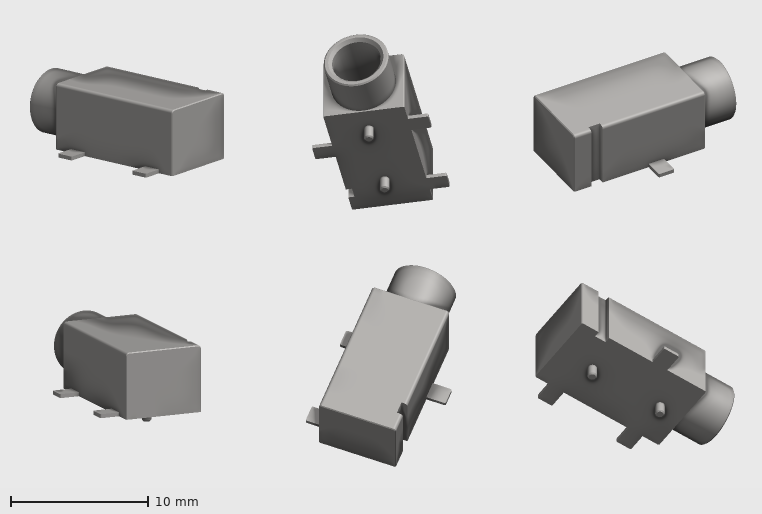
import cadquery as cq

total_length = 14.0
barrel_length = 3.0
edge_break = 0.1

housing_length = total_length - barrel_length
housing_width = 6.0
housing_height = 5.0
top_edge_radius = 0.25
end_face_bevel = 0.07

barrel_diameter = 4.8
bore_diameter = 3.61
mouth_diameter = 4.1
rear_wall = 1.0
bore_depth = total_length - rear_wall
axis_height = housing_height / 2

tab_width = 1.3
tab_reach = 1.5
tab_thickness = 0.3
tabs = [(5.1, -1), (12.1, -1), (7.1, 1)]

pin_diameter = 0.7
pin_length = 1.01
pin_positions = [5.0, 11.0]

notch_start = 11.6
notch_width = 0.94
notch_depth = 0.46


def make_housing():
    box = cq.Workplane("XY").box(
        housing_length, housing_width, housing_height, centered=(False, True, False)
    ).translate((barrel_length, 0, 0))
    box = box.edges("|X and >Z").fillet(top_edge_radius)
    end_edges = box.faces("<X or >X").edges("not(<Z)")
    return end_edges.chamfer(end_face_bevel)


def make_barrel():
    return (
        cq.Workplane("YZ", origin=(0, 0, axis_height))
        .circle(barrel_diameter / 2)
        .extrude(barrel_length + end_face_bevel)
        .faces("<X")
        .edges()
        .chamfer(edge_break)
    )


def make_bore():
    bore_radius = bore_diameter / 2
    mouth_radius = mouth_diameter / 2
    mouth_depth = mouth_radius - bore_radius
    profile = [
        (0, 0),
        (0, mouth_radius),
        (mouth_depth, bore_radius),
        (bore_depth, bore_radius),
        (bore_depth, 0),
    ]
    half_section = cq.Workplane("XY", origin=(0, 0, axis_height)).polyline(profile).close()
    return half_section.revolve(360, (0, 0, 0), (1, 0, 0))


def make_tab(center_x, side):
    center_y = side * (housing_width + tab_reach) / 2
    tab = cq.Workplane("XY").box(tab_width, tab_reach, tab_thickness, centered=(True, True, False))
    outer_corners = "|Z and >Y" if side > 0 else "|Z and <Y"
    return tab.edges(outer_corners).fillet(edge_break).translate((center_x, center_y, 0))


def make_pin(center_x):
    pin = cq.Workplane("XY").center(center_x, 0).circle(pin_diameter / 2).extrude(-pin_length)
    return pin.faces("<Z").edges().chamfer(edge_break)


def make_notch():
    return cq.Workplane("XY").box(notch_width, notch_depth, housing_height, centered=False).translate(
        (notch_start, housing_width / 2 - notch_depth, 0)
    )


result = make_housing().cut(make_notch()).union(make_barrel()).cut(make_bore())
for tab_x, tab_side in tabs:
    result = result.union(make_tab(tab_x, tab_side))
for pin_x in pin_positions:
    result = result.union(make_pin(pin_x))